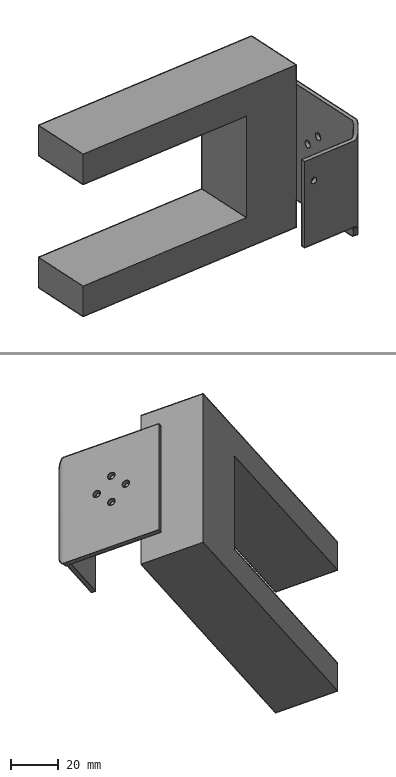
import cadquery as cq
import math

total_width = 69.0
total_length = 119.0

sheet_thickness = 2.0
bend_outer_radius = 4.0
bend_inner_radius = bend_outer_radius - sheet_thickness
back_width = 50.0
back_height = 57.0
flange_length = 30.9
flange_height = 42.5

bend_x = total_width - bend_outer_radius
bend_y = -bend_outer_radius

bend_edge_spans = 24

ring_x = 42.0
ring_z = 2.5
ring_radius = 7.0
ring_hole_count = 4
ring_hole_diameter = 3.5

flange_hole_setback = 5.0
flange_hole_z = 10.0
flange_hole_diameter = 3.0

block_width = 30.0
block_height = 80.0
block_length = total_length - bend_outer_radius
slot_height = 50.0
web_depth = 26.9
arm_length = block_length - web_depth


def make_block():
    """U-shaped block with two arms reaching toward -Y."""
    body = cq.Workplane("XY").box(
        block_width, block_length, block_height, centered=(False, False, True)
    )
    slot = cq.Workplane("XY").box(
        block_width, arm_length, slot_height, centered=(False, False, True)
    )
    return body.cut(slot).translate((0, -total_length, 0))


def bend_edge(radius, side):
    """S-shaped edge around the bend, level at both ends; side is +1 for the upper end, -1 for the lower end."""
    def point(turn):
        angle = turn * math.pi / 2
        taper = (1 - math.cos(math.pi * turn)) / 2
        height = back_height + (flange_height - back_height) * taper
        return (
            bend_x + radius * math.sin(angle),
            bend_y + radius * math.cos(angle),
            side * height / 2,
        )

    return cq.Workplane("XY").parametricCurve(point, N=bend_edge_spans, makeWire=False).val()


def make_bend():
    """Quarter-round bend that tapers smoothly from the back height to the flange height."""
    outer_top = bend_edge(bend_outer_radius, 1)
    outer_bottom = bend_edge(bend_outer_radius, -1)
    inner_top = bend_edge(bend_inner_radius, 1)
    inner_bottom = bend_edge(bend_inner_radius, -1)
    boundary = [outer_top, inner_top, inner_bottom, outer_bottom]
    faces = [
        cq.Face.makeRuledSurface(first, second)
        for first, second in zip(boundary, boundary[1:] + boundary[:1])
    ]
    for end in (lambda edge: edge.startPoint(), lambda edge: edge.endPoint()):
        outline = cq.Wire.makePolygon([end(edge) for edge in boundary], close=True)
        faces.append(cq.Face.makeFromWires(outline))
    return cq.Workplane(cq.Solid.makeSolid(cq.Shell.makeShell(faces)).fix())


def make_ring_holes():
    """Cutters for the circle of holes through the back plate."""
    return (
        cq.Workplane("XZ", origin=(ring_x, 0, ring_z))
        .polarArray(ring_radius, 0, 360, ring_hole_count)
        .circle(ring_hole_diameter / 2)
        .extrude(sheet_thickness)
    )


def make_flange_hole():
    """Cutter for the hole near the free end of the side flange."""
    return (
        cq.Workplane("YZ", origin=(total_width, flange_hole_setback - flange_length, flange_hole_z))
        .circle(flange_hole_diameter / 2)
        .extrude(-sheet_thickness)
    )


def make_bracket():
    """Back plate and side flange joined by the tapered bend."""
    back_length = back_width - bend_outer_radius
    straight_length = flange_length - bend_outer_radius
    back = (
        cq.Workplane("XY")
        .box(back_length, sheet_thickness, back_height, centered=(False, False, True))
        .translate((bend_x - back_length, -sheet_thickness, 0))
    )
    flange = (
        cq.Workplane("XY")
        .box(sheet_thickness, straight_length, flange_height, centered=(False, False, True))
        .translate((total_width - sheet_thickness, -flange_length, 0))
    )
    body = back.union(make_bend()).union(flange)
    return body.cut(make_ring_holes()).cut(make_flange_hole())


block = make_block()
bracket = make_bracket()

result = cq.Compound.makeCompound([block.val(), *bracket.solids().vals()])